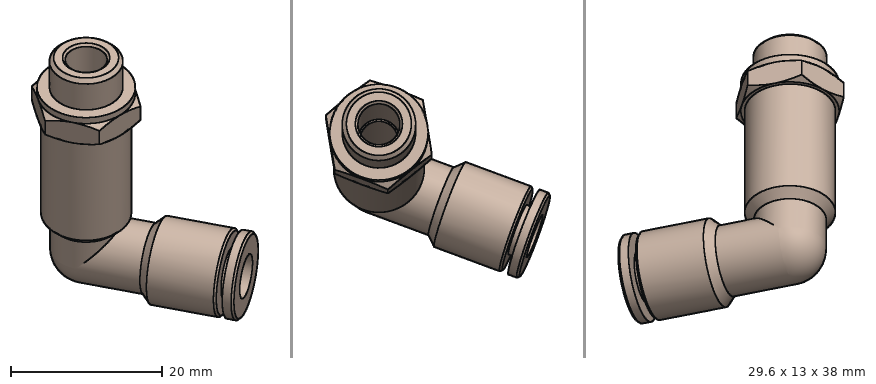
import cadquery as cq
import math


body_dia = 12.0
elbow_dia = 9.6
bore_dia = 5.0
shoulder_run = 1.25

top_z = 38 - body_dia / 2
stem_shoulder_z = 4.65
thread_dia = 9.73
thread_length = 4.95
thread_chamfer = 0.57
hex_flats = 13.0
hex_height = 3.45
hex_bevel_angle = 30
washer_height = 1.03
mouth_bore_dia = 5.55
mouth_chamfer = 0.35
mouth_chamfer_angle = 45

branch_length = 22.05
branch_shoulder_x = 8.8
release_collar_length = 1.52
collar_gap = 0.9
release_neck_dia = 7.0
edge_chamfer = 0.3
tube_dia = 6.0

washer_top_z = top_z - thread_length
hex_top_z = washer_top_z - washer_height
hex_bottom_z = hex_top_z - hex_height

collar_x = branch_length - release_collar_length
body_end_x = collar_x - collar_gap
tube_stop_x = branch_shoulder_x + shoulder_run


def stem_cylinder(diameter, bottom, top):
    return cq.Workplane("XY").workplane(offset=bottom).circle(diameter / 2).extrude(top - bottom)


def branch_cylinder(diameter, start, end):
    return cq.Workplane("YZ").workplane(offset=start).circle(diameter / 2).extrude(end - start)


def elbow(diameter, stem_top, branch_end):
    """Two equal cylinders meeting in a mitre, with a ball on the outer corner."""
    ball = cq.Workplane("XY").sphere(diameter / 2)
    return (
        ball
        .union(stem_cylinder(diameter, 0, stem_top))
        .union(branch_cylinder(diameter, 0, branch_end))
    )


def shouldered_profile(start, end):
    """Half section, as (radius, axial) points, of a body that begins with a cone."""
    return [
        (0, start),
        (elbow_dia / 2, start),
        (body_dia / 2, start + shoulder_run),
        (body_dia / 2, end),
        (0, end),
    ]


def make_stem():
    profile = shouldered_profile(stem_shoulder_z, hex_bottom_z)
    sleeve = cq.Workplane("XZ").polyline(profile).close().revolve(360, (0, 0), (0, 1))
    washer = stem_cylinder(hex_flats, hex_top_z, washer_top_z)
    thread = stem_cylinder(thread_dia, washer_top_z, top_z).faces(">Z").chamfer(thread_chamfer)
    return sleeve.union(make_hexagon()).union(washer).union(thread)


def make_hexagon():
    """Hexagon with corners on the X axis, its corners bevelled above and below."""
    corner_dia = hex_flats / math.cos(math.pi / 6)
    bevel_run = (corner_dia - hex_flats) / 2
    bevel_drop = bevel_run * math.tan(math.radians(hex_bevel_angle))
    prism = (
        cq.Workplane("XY").workplane(offset=hex_bottom_z)
        .polygon(6, corner_dia).extrude(hex_height)
    )
    bevel_profile = [
        (0, hex_bottom_z),
        (hex_flats / 2, hex_bottom_z),
        (corner_dia / 2, hex_bottom_z + bevel_drop),
        (corner_dia / 2, hex_top_z - bevel_drop),
        (hex_flats / 2, hex_top_z),
        (0, hex_top_z),
    ]
    bevel = cq.Workplane("XZ").polyline(bevel_profile).close().revolve(360, (0, 0), (0, 1))
    return prism.intersect(bevel)


def make_branch():
    profile = [(axial, radius) for radius, axial in shouldered_profile(branch_shoulder_x, body_end_x)]
    socket = cq.Workplane("XZ").polyline(profile).close().revolve(360, (0, 0), (1, 0))
    socket = socket.faces(">X").chamfer(edge_chamfer)
    neck = branch_cylinder(release_neck_dia, body_end_x, collar_x)
    collar = branch_cylinder(body_dia, collar_x, branch_length).faces(">X").chamfer(edge_chamfer)
    return socket.union(neck).union(collar)


def make_passage():
    """Elbow bore, wider at the threaded mouth and in the tube socket."""
    mouth = stem_cylinder(mouth_bore_dia, hex_bottom_z, top_z)
    countersink = (
        cq.Workplane("XY").workplane(offset=top_z)
        .circle(mouth_bore_dia / 2 + mouth_chamfer)
        .extrude(-mouth_chamfer, taper=mouth_chamfer_angle)
    )
    tube_socket = branch_cylinder(tube_dia, tube_stop_x, branch_length)
    return elbow(bore_dia, hex_bottom_z, tube_stop_x).union(mouth).union(countersink).union(tube_socket)


outer = elbow(elbow_dia, stem_shoulder_z, branch_shoulder_x).union(make_stem()).union(make_branch())
result = outer.cut(make_passage())